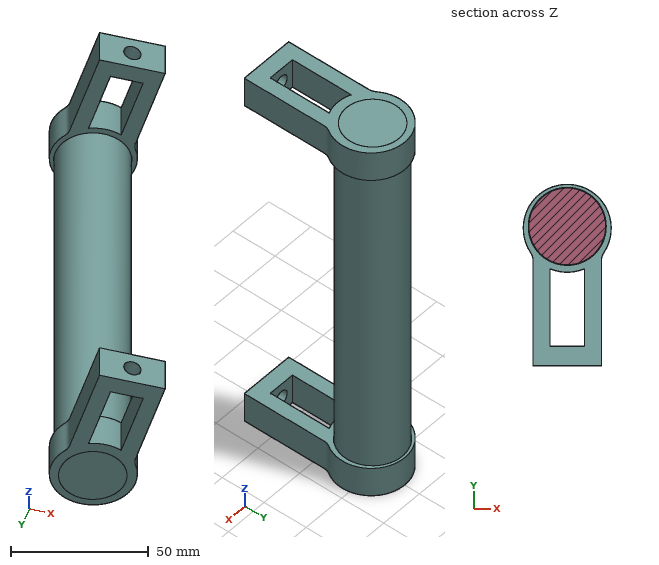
import cadquery as cq
import math

handle_height = 174.0
handle_depth = 66.0

bracket_thickness = 14.0
head_diameter = 32.0
arm_width = 24.9
neck_fillet_radius = 5.5
slot_width = 12.4
arm_end_wall = 7.1
screw_hole_diameter = 6.5

grip_diameter = 28.0
socket_diameter = 28.4
cap_diameter = arm_width
grip_axis_y = 0.7

head_radius = head_diameter / 2
arm_end_y = head_radius - handle_depth
slot_front_y = arm_end_y + arm_end_wall
top_bracket_z = handle_height - bracket_thickness

socket_depth = bracket_thickness / 2
cap_thickness = bracket_thickness - socket_depth
grip_length = handle_height - 2 * cap_thickness

bracket_levels = (
    (0, cap_thickness, 0),
    (top_bracket_z, top_bracket_z, handle_height - cap_thickness),
)


def cylinder(diameter, height, base_z, axis_y):
    """Upright cylinder standing on base_z."""
    return (
        cq.Workplane("XY", origin=(0, axis_y, base_z))
        .circle(diameter / 2)
        .extrude(height)
    )


def bracket_blank(base_z):
    """Round head blended into a straight arm by a concave arc on each side."""
    half_width = arm_width / 2
    blend_x = half_width + neck_fillet_radius
    blend_distance = head_radius + neck_fillet_radius
    blend_y = -math.sqrt(blend_distance**2 - blend_x**2)
    meet_x = blend_x * head_radius / blend_distance
    meet_y = blend_y * head_radius / blend_distance
    head_angle = math.atan2(-blend_y, -blend_x)
    middle_angle = (head_angle + math.pi) / 2
    middle_x = blend_x + neck_fillet_radius * math.cos(middle_angle)
    middle_y = blend_y + neck_fillet_radius * math.sin(middle_angle)
    return (
        cq.Workplane("XY", origin=(0, 0, base_z))
        .moveTo(-half_width, arm_end_y)
        .lineTo(half_width, arm_end_y)
        .lineTo(half_width, blend_y)
        .threePointArc((middle_x, middle_y), (meet_x, meet_y))
        .threePointArc((0, head_radius), (-meet_x, meet_y))
        .threePointArc((-middle_x, middle_y), (-half_width, blend_y))
        .close()
        .extrude(bracket_thickness)
    )


def arm_slot(base_z):
    """Slot through the arm, ending against the round of the head."""
    full_slot = (
        cq.Workplane("XY", origin=(0, slot_front_y / 2, base_z))
        .rect(slot_width, -slot_front_y)
        .extrude(bracket_thickness)
    )
    head = cylinder(head_diameter, bracket_thickness, base_z, axis_y=0)
    return full_slot.cut(head)


def screw_hole(base_z):
    """Hole along Y from the end of the arm into the slot."""
    middle_z = base_z + bracket_thickness / 2
    return (
        cq.Workplane("XZ", origin=(0, slot_front_y, middle_z))
        .circle(screw_hole_diameter / 2)
        .extrude(arm_end_wall)
    )


def make_bracket(base_z, socket_z):
    """Bracket with a grip socket on one face, a cap bore, a slot and a screw hole."""
    cap_bore = cylinder(cap_diameter, bracket_thickness, base_z, grip_axis_y)
    grip_socket = cylinder(socket_diameter, socket_depth, socket_z, grip_axis_y)
    bracket = bracket_blank(base_z).cut(cap_bore).cut(grip_socket)
    return bracket.cut(arm_slot(base_z)).cut(screw_hole(base_z))


def make_cap(cap_z):
    """Disc that closes the bore of a bracket, flush with its outer face."""
    return cylinder(cap_diameter, cap_thickness, cap_z, grip_axis_y)


def make_grip():
    """Round bar seated in the sockets of both brackets."""
    return cylinder(grip_diameter, grip_length, cap_thickness, grip_axis_y)


grip = make_grip()
brackets = [make_bracket(base_z, socket_z) for base_z, socket_z, _ in bracket_levels]
caps = [make_cap(cap_z) for _, _, cap_z in bracket_levels]

result = cq.Compound.makeCompound(
    [
        grip.val(),
        *[bracket.val() for bracket in brackets],
        *[cap.val() for cap in caps],
    ]
)